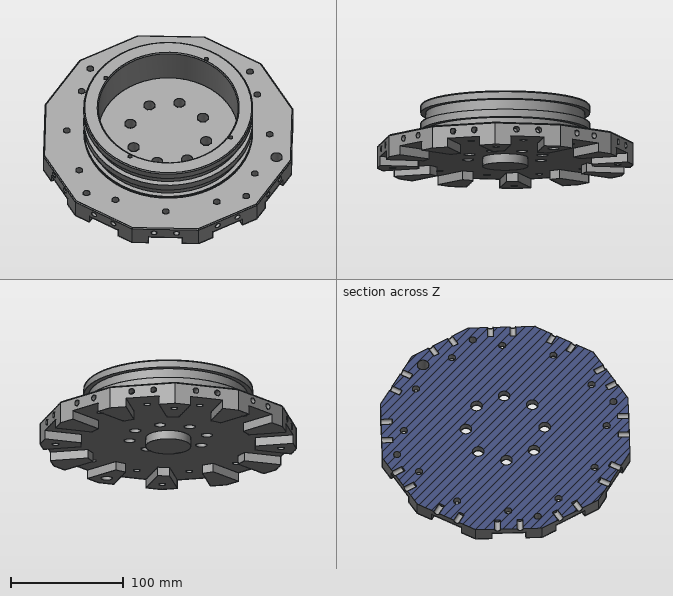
import cadquery as cq
import math

side_count = 12
flange_width = 220.0
flange_height = 20.0
flange_chamfer = 1.0

total_height = 55.0
collar_radius = 75.0
groove_depth = 4.5
groove_height = 9.7
groove_floors = (22.0, 38.3)
collar_chamfer = 1.0
foot_chamfer = 0.5

bore_radius = 62.0
bore_floor = 20.0
bore_chamfer = 1.0

slot_width = 30.0
recess_depth = 8.0
recess_radius = 77.5
hub_radius = 20.0

side_hole_diameter = 5.0
side_hole_spacing = 20.0
side_hole_height = 14.0
side_hole_depth = 10.0

flange_hole_diameter = 6.0
flange_hole_ring = 90.0
corner_hole_ring = 100.0
corner_hole_angles = (-105, -15, 75, 165)
locating_hole_diameter = 10.0
locating_hole_angle = 15
floor_hole_count = 8
floor_hole_diameter = 10.0
floor_hole_ring = 35.0
floor_hole_start = 15
rim_hole_count = 4
rim_hole_diameter = 3.5
rim_hole_ring = 65.0
rim_hole_depth = 10.0
rim_hole_tip_height = 1.0

side_angle = 360 / side_count


def ring_points(radius, angles):
    """Points at the given angles, in degrees, on a circle about the part's axis."""
    return [
        (radius * math.cos(math.radians(angle)), radius * math.sin(math.radians(angle)))
        for angle in angles
    ]


def even_angles(count, start=0):
    """Angles, in degrees, spaced evenly around a full turn."""
    return [start + index * 360 / count for index in range(count)]


def vertical_holes(points, diameter, bottom=0.0):
    """Cutters for round holes that run from the bottom height up to the top of the part."""
    return (
        cq.Workplane("XY", origin=(0, 0, bottom))
        .pushPoints(points)
        .circle(diameter / 2)
        .extrude(total_height - bottom)
    )


def make_flange():
    corner_diameter = flange_width / math.cos(math.pi / side_count)
    return (
        cq.Workplane("XY")
        .polygon(side_count, corner_diameter)
        .extrude(flange_height)
        .rotate((0, 0, 0), (0, 0, 1), side_angle / 2)
        .faces(">Z")
        .chamfer(flange_chamfer)
    )


def make_disc(bottom, top):
    """Disc of the full collar radius between two heights."""
    return cq.Workplane("XY", origin=(0, 0, bottom)).circle(collar_radius).extrude(top - bottom)


def make_collar():
    foot_height, rib_top = groove_floors
    rib_bottom = foot_height + groove_height
    rim_bottom = rib_top + groove_height
    core = cq.Workplane("XY").circle(collar_radius - groove_depth).extrude(total_height)
    foot = make_disc(0, foot_height).faces(">Z").chamfer(foot_chamfer)
    rib = make_disc(rib_bottom, rib_top)
    rim = make_disc(rim_bottom, total_height).faces(">Z").chamfer(collar_chamfer)
    return core.union(foot).union(rib).union(rim)


def make_bore():
    bore = (
        cq.Workplane("XY", origin=(0, 0, bore_floor))
        .circle(bore_radius)
        .extrude(total_height - bore_floor)
    )
    mouth = (
        cq.Workplane("XY", origin=(0, 0, total_height))
        .circle(bore_radius + bore_chamfer)
        .workplane(offset=-bore_chamfer)
        .circle(bore_radius)
        .loft()
    )
    return bore.union(mouth)


def make_slot(angle):
    """Cutter for a bar-shaped slot across the whole underside, opening two opposite sides."""
    return (
        cq.Workplane("XY")
        .rect(2 * flange_width, slot_width)
        .extrude(recess_depth)
        .rotate((0, 0, 0), (0, 0, 1), angle)
    )


def cut_recess(body):
    body = body.cut(cq.Workplane("XY").circle(recess_radius).extrude(recess_depth))
    for index in range(side_count // 2):
        body = body.cut(make_slot(index * side_angle))
    hub = cq.Workplane("XY").circle(hub_radius).extrude(recess_depth)
    return body.union(hub)


def make_side_holes():
    pair = (
        cq.Workplane("YZ", origin=(flange_width / 2 - side_hole_depth, 0, side_hole_height))
        .pushPoints([(-side_hole_spacing / 2, 0), (side_hole_spacing / 2, 0)])
        .circle(side_hole_diameter / 2)
        .extrude(side_hole_depth)
    )
    holes = cq.Workplane("XY")
    for angle in even_angles(side_count):
        holes = holes.add(pair.rotate((0, 0, 0), (0, 0, 1), angle))
    return holes.combine()


def make_rim_holes():
    """Cutters for the blind rim holes, each ending in a drill-point cone."""
    points = ring_points(rim_hole_ring, even_angles(rim_hole_count))
    bottom = total_height - rim_hole_depth
    holes = vertical_holes(points, rim_hole_diameter, bottom)
    for x, y in points:
        tip = cq.Solid.makeCone(
            rim_hole_diameter / 2,
            0,
            rim_hole_tip_height,
            pnt=cq.Vector(x, y, bottom),
            dir=cq.Vector(0, 0, -1),
        )
        holes = holes.union(cq.Workplane(obj=tip))
    return holes


flange_holes = vertical_holes(
    ring_points(flange_hole_ring, even_angles(side_count)), flange_hole_diameter
)
corner_holes = vertical_holes(
    ring_points(corner_hole_ring, corner_hole_angles), flange_hole_diameter
)
locating_hole = vertical_holes(
    ring_points(corner_hole_ring, [locating_hole_angle]), locating_hole_diameter
)
floor_holes = vertical_holes(
    ring_points(floor_hole_ring, even_angles(floor_hole_count, floor_hole_start)),
    floor_hole_diameter,
)

body = make_flange().union(make_collar()).cut(make_bore())

result = (
    cut_recess(body)
    .cut(make_side_holes())
    .cut(flange_holes)
    .cut(corner_holes)
    .cut(locating_hole)
    .cut(floor_holes)
    .cut(make_rim_holes())
)